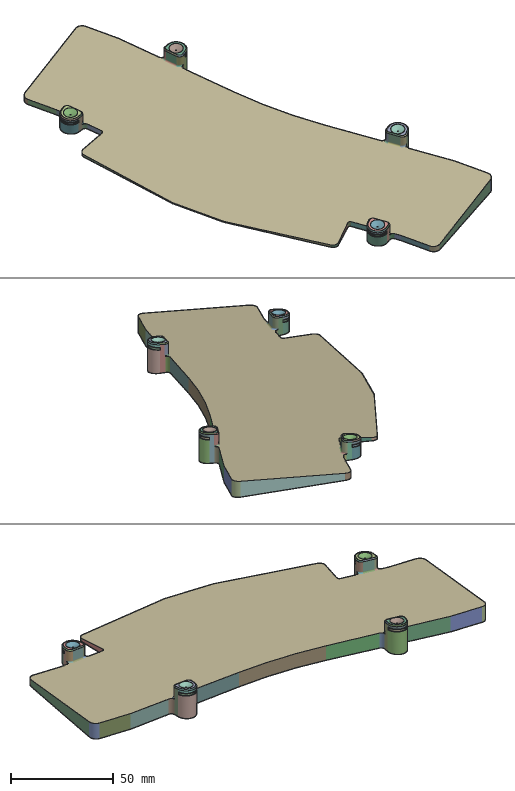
import cadquery as cq
import math

LENGTH = 230.5
DEPTH = 97.5
HEIGHT = 16.1

PLATE_TOP = 9.2
WEDGE_ANGLE = 5.0
WING_BACK_Y = 91.8
WING_FRONT_Y = 32.0
WING_CORNER_RADIUS = 3.7
BACK_BEND_X = 93.4
FRONT_BEND_X = 95.7
EDGE_TILT = 6.1
BACK_ARC_HALF_WIDTH = 25.4

TONGUE_FLAT_HALF_WIDTH = 14.3
TONGUE_TILT = 10.2
TONGUE_HALF_WIDTH = 71.5
TONGUE_CORNER_RADIUS = 3.0
NOTCH_RADIUS = 1.4

BOSS_RADIUS = 5.3
BOSS_FLARE = math.radians(6)
BOSS_INNER_REACH = 4.1
BOSS_INNER_CORNER_RADIUS = 2.3
BOSS_TOP_CHAMFER = 0.58
BOSS_FOOT_FILLET = 0.7
BACK_BOSS_X = 61.5
FRONT_BOSS_X = 85.3
FRONT_BOSS_Y = 27.0
BACK_BOSS_Y = DEPTH - BOSS_RADIUS
BACK_JOIN_RADIUS = 2.0
FRONT_JOIN_RADIUS = 1.8

GROOVE_BOTTOM = 12.7
GROOVE_WIDTH = 1.27
GROOVE_DEPTH = 0.5
GROOVE_START = BOSS_RADIUS * math.sin(BOSS_FLARE)

DIMPLE_RADIUS = 3.5
DIMPLE_TIP_RADIUS = 0.2
DIMPLE_DEPTH = 1.4

BOSS_ROOT_REACH = 7.0
BOSS_CLEARANCE = 8.0

EDGE_SLOPE = math.tan(math.radians(EDGE_TILT))
TONGUE_SLOPE = math.tan(math.radians(TONGUE_TILT))

BOSSES = [
    (side * x, y, -side * turn, join)
    for side in (-1, 1)
    for x, y, turn, join in (
        (BACK_BOSS_X, BACK_BOSS_Y, EDGE_TILT, BACK_JOIN_RADIUS),
        (FRONT_BOSS_X, FRONT_BOSS_Y, 180 + EDGE_TILT, FRONT_JOIN_RADIUS),
    )
]


def plate_prism():
    """Plate outline extruded to full height, symmetric about X = 0."""
    back_arc_y = WING_BACK_Y - (BACK_BEND_X - BACK_ARC_HALF_WIDTH) * EDGE_SLOPE
    back_middle_y = back_arc_y - BACK_ARC_HALF_WIDTH * math.tan(math.radians(EDGE_TILT / 2))
    tongue_y = (TONGUE_HALF_WIDTH - TONGUE_FLAT_HALF_WIDTH) * TONGUE_SLOPE
    notch_line_y = WING_FRONT_Y - (FRONT_BEND_X - TONGUE_HALF_WIDTH) * EDGE_SLOPE
    notch_shift = (notch_line_y - tongue_y) * TONGUE_SLOPE / (1 + TONGUE_SLOPE * EDGE_SLOPE)
    notch_x = TONGUE_HALF_WIDTH - notch_shift
    notch_y = notch_line_y - notch_shift * EDGE_SLOPE

    right_side = [
        (BACK_BEND_X, WING_BACK_Y),
        (LENGTH / 2, WING_BACK_Y),
        (LENGTH / 2, WING_FRONT_Y),
        (FRONT_BEND_X, WING_FRONT_Y),
        (notch_x, notch_y),
        (TONGUE_HALF_WIDTH, tongue_y),
        (TONGUE_FLAT_HALF_WIDTH, 0),
    ]
    left_side = [(-x, y) for x, y in reversed(right_side)]
    prism = (
        cq.Workplane("XY")
        .moveTo(-BACK_ARC_HALF_WIDTH, back_arc_y)
        .threePointArc((0, back_middle_y), (BACK_ARC_HALF_WIDTH, back_arc_y))
        .polyline(right_side + left_side, includeCurrent=True)
        .close()
        .extrude(PLATE_TOP)
    )
    for x, y, radius in (
        (LENGTH / 2, WING_BACK_Y, WING_CORNER_RADIUS),
        (LENGTH / 2, WING_FRONT_Y, WING_CORNER_RADIUS),
        (notch_x, notch_y, NOTCH_RADIUS),
        (TONGUE_HALF_WIDTH, tongue_y, TONGUE_CORNER_RADIUS),
    ):
        for side in (-1, 1):
            corner = cq.selectors.NearestToPointSelector((side * x, y, PLATE_TOP / 2))
            prism = prism.edges(corner).fillet(radius)
    return prism


def boss_prism(height, reach):
    """Boss about the origin: round toward +Y, with tangent sides that spread toward a flat -Y face."""
    tangent_x = BOSS_RADIUS * math.cos(BOSS_FLARE)
    tangent_y = BOSS_RADIUS * math.sin(BOSS_FLARE)
    base_x = tangent_x + (reach + tangent_y) * math.tan(BOSS_FLARE)
    return (
        cq.Workplane("XY")
        .moveTo(-base_x, -reach)
        .lineTo(-tangent_x, tangent_y)
        .threePointArc((0, BOSS_RADIUS), (tangent_x, tangent_y))
        .lineTo(base_x, -reach)
        .close()
        .extrude(height)
    )


def placed(shape, x, y, turn):
    """Turn a boss clockwise about Z, then move it to its centre."""
    return shape.rotate((0, 0, 0), (0, 0, 1), -turn).translate((x, y, 0))


def boss_post():
    """Full-height boss with rounded inner corners, chamfered top, groove and dimple."""
    post = boss_prism(HEIGHT, BOSS_INNER_REACH)
    post = post.edges("|Z and <Y").fillet(BOSS_INNER_CORNER_RADIUS)
    post = post.faces(">Z").edges().chamfer(BOSS_TOP_CHAMFER)

    slab_side = 3 * BOSS_CLEARANCE
    slab = cq.Workplane("XY").box(slab_side, slab_side, PLATE_TOP, centered=(True, True, False))
    foot_level = cq.selectors.BoxSelector(
        (-BOSS_CLEARANCE, -BOSS_CLEARANCE, PLATE_TOP - BOSS_FOOT_FILLET / 2),
        (BOSS_CLEARANCE, BOSS_CLEARANCE, PLATE_TOP + BOSS_FOOT_FILLET / 2),
    )
    post = post.union(slab).edges(foot_level).fillet(BOSS_FOOT_FILLET)
    post = post.intersect(boss_prism(HEIGHT, BOSS_INNER_REACH + BOSS_FOOT_FILLET))

    groove = (
        cq.Workplane("XY")
        .workplane(offset=GROOVE_BOTTOM)
        .circle(BOSS_RADIUS + GROOVE_DEPTH)
        .circle(BOSS_RADIUS - GROOVE_DEPTH)
        .extrude(GROOVE_WIDTH)
    )
    outer_side = (
        cq.Workplane("XY")
        .box(2 * BOSS_CLEARANCE, BOSS_CLEARANCE, HEIGHT, centered=(True, False, False))
        .translate((0, GROOVE_START, 0))
    )
    dimple_tip = cq.Vector(0, 0, HEIGHT - DIMPLE_DEPTH)
    dimple = cq.Workplane(cq.Solid.makeCone(DIMPLE_TIP_RADIUS, DIMPLE_RADIUS, DIMPLE_DEPTH, pnt=dimple_tip))
    return post.cut(groove.intersect(outer_side)).cut(dimple)


def junction_edges(body, x, y):
    """Upright inside edges where the sides of one boss meet the plate edge."""
    near = cq.selectors.BoxSelector(
        (x - BOSS_CLEARANCE, y - BOSS_RADIUS, 0),
        (x + BOSS_CLEARANCE, y + BOSS_RADIUS, PLATE_TOP),
    )
    edges = body.edges("|Z").edges(near)

    def outside_round(edge):
        distance = math.hypot(edge.Center().x - x, edge.Center().y - y)
        return distance > BOSS_RADIUS + GROOVE_DEPTH

    return edges.filter(outside_round)


body = plate_prism()
for x, y, turn, join in BOSSES:
    body = body.union(placed(boss_prism(PLATE_TOP, BOSS_ROOT_REACH), x, y, turn))
for x, y, turn, join in BOSSES:
    body = junction_edges(body, x, y).fillet(join)
for x, y, turn, join in BOSSES:
    body = body.union(placed(boss_post(), x, y, turn))

drop = DEPTH * math.tan(math.radians(WEDGE_ANGLE))
below = (
    cq.Workplane("YZ")
    .polyline([(0, drop), (DEPTH, 0), (DEPTH, -HEIGHT), (0, -HEIGHT)])
    .close()
    .extrude(LENGTH, both=True)
)
result = body.cut(below)